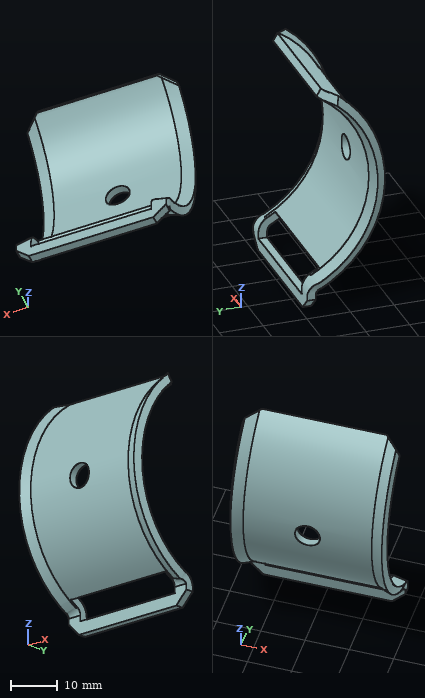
import cadquery as cq
import math

HEIGHT = 52.0
DEPTH = 18.05
WIDTH = 35.5
HALF_WIDTH = WIDTH / 2
THICKNESS = 2.05

AXIS_Z = 29.4
OUTER_RADIUS = 26.45
INNER_RADIUS = OUTER_RADIUS - THICKNESS

RIM_START = 14.5
RIM_ANGLE = math.radians(20)
RIM_LENGTH = (HALF_WIDTH - RIM_START - THICKNESS * math.sin(RIM_ANGLE)) / math.cos(RIM_ANGLE)
CREST_RADIUS = OUTER_RADIUS + RIM_LENGTH * math.sin(RIM_ANGLE)
AXIS_Y = CREST_RADIUS - DEPTH
END_CHAMFER = 2.8
CHAMFER_START = 14.1
END_ANGLE = math.asin((HEIGHT - AXIS_Z) / OUTER_RADIUS)

TAB_HALF_WIDTH = 17.5
TAB_CHAMFER = 2.95
SLOT_BOTTOM = 2.95
SLOT_TOP = 7.1
SLOT_ANGLE = math.asin((AXIS_Z - SLOT_TOP) / OUTER_RADIUS)
SLOT_HALF_WIDTH = 14.05
BEND_RADIUS = 3.9
BEND_STEPS = 4
BEND_ANGLE = math.acos((AXIS_Y + BEND_RADIUS) / (INNER_RADIUS + BEND_RADIUS))
BEND_Z = AXIS_Z - (INNER_RADIUS + BEND_RADIUS) * math.sin(BEND_ANGLE)

HOLE_DIAMETER = 5.6


def rim_profile(angle, edge_x=HALF_WIDTH):
    """Rim points as (x, height above the shell's inner face), outer face first."""
    crest_x = edge_x - THICKNESS * math.sin(angle)
    rise = (crest_x - RIM_START) * math.tan(angle)
    inner_bend_x = RIM_START + THICKNESS * math.tan(angle / 2)
    return [
        (RIM_START, THICKNESS),
        (crest_x, THICKNESS + rise),
        (edge_x, THICKNESS + rise - THICKNESS * math.cos(angle)),
        (inner_bend_x, 0),
    ]


def leg_profile(angle, edge_x=HALF_WIDTH):
    """Rim together with the narrow strip left beside the slot."""
    return [(SLOT_HALF_WIDTH, THICKNESS)] + rim_profile(angle, edge_x) + [(SLOT_HALF_WIDTH, 0)]


def sweep_shell(profile, start, end):
    """Revolve a profile around the shell axis between two angles above horizontal."""
    points = [(x, AXIS_Y - INNER_RADIUS - height) for x, height in profile]
    sector = (
        cq.Workplane("XY", origin=(0, 0, AXIS_Z))
        .polyline(points).close()
        .revolve(math.degrees(end - start), (0, AXIS_Y, 0), (-1, AXIS_Y, 0))
    )
    axis_start = (0, AXIS_Y, AXIS_Z)
    return sector.rotate(axis_start, (-1, AXIS_Y, AXIS_Z), math.degrees(start))


def shell():
    right = rim_profile(RIM_ANGLE)
    left = [(-x, height) for x, height in reversed(right)]
    return sweep_shell(right + left, -SLOT_ANGLE, END_ANGLE)


def top_corner_cutter():
    """Wedge across the right top corner, its cut face parallel to the end's radius."""
    reach = 2 * END_CHAMFER
    corner_x = CHAMFER_START + END_CHAMFER
    radial = cq.Vector(0, -math.cos(END_ANGLE), math.sin(END_ANGLE))
    end_plane = cq.Plane(origin=(0, AXIS_Y, AXIS_Z), xDir=(1, 0, 0), normal=radial)
    return (
        cq.Workplane(end_plane)
        .workplane(offset=INNER_RADIUS - THICKNESS)
        .polyline([
            (corner_x - END_CHAMFER - reach, reach),
            (corner_x + reach, -(END_CHAMFER + reach)),
            (corner_x + reach, reach),
        ]).close()
        .extrude(4 * THICKNESS)
    )


def bend_section(step):
    """Closed leg outline part way round the bend, flattening towards the tab."""
    fraction = step / BEND_STEPS
    turn = BEND_ANGLE * (1 - fraction)
    edge_x = HALF_WIDTH + (TAB_HALF_WIDTH - HALF_WIDTH) * fraction
    points = []
    for x, height in leg_profile(RIM_ANGLE * (1 - fraction), edge_x):
        radius = BEND_RADIUS - height
        y = -BEND_RADIUS + radius * math.cos(turn)
        z = BEND_Z + radius * math.sin(turn)
        points.append(cq.Vector(x, y, z))
    return cq.Wire.makePolygon(points, close=True)


def right_leg():
    upper = sweep_shell(leg_profile(RIM_ANGLE), -BEND_ANGLE, -SLOT_ANGLE)
    bend = cq.Solid.makeLoft([bend_section(step) for step in range(BEND_STEPS + 1)], False)
    return upper.union(cq.Workplane(bend))


def tab():
    slot_height = BEND_Z - SLOT_BOTTOM
    plate = (
        cq.Workplane("XY")
        .box(2 * TAB_HALF_WIDTH, THICKNESS, BEND_Z, centered=(True, False, False))
        .translate((0, -THICKNESS, 0))
        .edges("|Y and <Z").chamfer(TAB_CHAMFER)
    )
    slot = (
        cq.Workplane("XY")
        .box(2 * SLOT_HALF_WIDTH, THICKNESS, slot_height, centered=(True, False, False))
        .translate((0, -THICKNESS, SLOT_BOTTOM))
    )
    return plate.cut(slot)


def center_hole():
    return (
        cq.Workplane("XZ", origin=(0, AXIS_Y, AXIS_Z))
        .circle(HOLE_DIAMETER / 2)
        .extrude(CREST_RADIUS)
    )


leg = right_leg()
corner = top_corner_cutter()
result = (
    shell()
    .cut(corner)
    .cut(corner.mirror("YZ"))
    .union(leg)
    .union(leg.mirror("YZ"))
    .union(tab())
    .cut(center_hole())
)